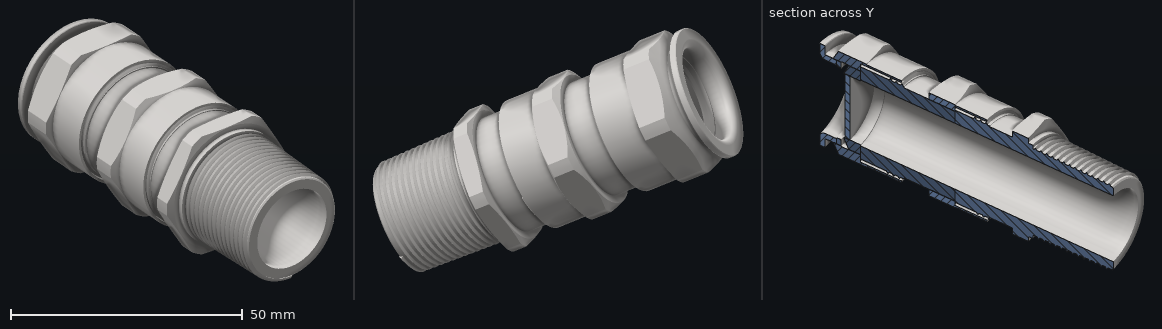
import cadquery as cq
import math


HEX_ACROSS_FLATS = 30.0
HEX_CORNER_RADIUS = 33.0 / 2
HEX_FACE_RADIUS = 14.8
SLEEVE_RADIUS = 14.8

FLANGE_WIDTH = 1.55
FLANGE_EDGE_CHAMFER = 0.15
SEAL_NECK_RADIUS = 24.5 / 2
SEAL_BORE_RADIUS = 10.6
SEAL_MOUTH_FILLET = SEAL_NECK_RADIUS - SEAL_BORE_RADIUS
SEAL_END = 4.55

FERRULE_BORE_RADIUS = 10.3
FERRULE_END = 5.7

CONE_TIP = 6.2
CONE_HALF_ANGLE = 65
DISC_RADIUS = 9.2
DISC_RECESS = 0.4
DISC_THICKNESS = 1.55

CAP_NUT_START = 3.55
CAP_NUT_FRONT_CHAMFER = 2.2
CAP_NUT_HEX_END = 12.4
CAP_NUT_REAR_CHAMFER = 0.4
CAP_NUT_SHOULDER = 10.8
CAP_NUT_END = 21.5

UNION_NUT_START = 28.65
UNION_NUT_FRONT_CHAMFER = 1.15
UNION_NUT_HEX_END = 35.7
UNION_NUT_REAR_CHAMFER = 1.0
UNION_NUT_SHOULDER = 35.5
UNION_NUT_END = 43.95

BODY_BORE_RADIUS = 19.0 / 2
NUT_THREAD_CORE_RADIUS = 26.9 / 2
NUT_THREAD_OVERHANG = 0.7
NUT_THREAD_TURNS = 3
NUT_THREAD_CLEARANCE = 0.15
NUT_THREAD_CREST_SETBACK = 0.15
MIDDLE_THREAD_TURN = -80
ENTRY_THREAD_TURN = 15
MIDDLE_RADIUS = 26.3 / 2

ENTRY_RADIUS = 26.5 / 2
ENTRY_HEX_START = 50.4
ENTRY_HEX_END = 54.8
ENTRY_HEX_CHAMFER = 0.5
COLLAR_END = 55.9
COLLAR_RADIUS = 13.6

FOURTEEN_TURNS_LENGTH = 20.85
THREAD_PITCH = FOURTEEN_TURNS_LENGTH / 14
RIDGE_HEIGHT = 0.6
RIDGE_WIDTH = 0.8
RIDGE_SINK = 0.3
TOTAL_LENGTH = 77.25
CORE_END = 77.0
CORE_START_RADIUS = 12.6
CORE_END_RADIUS = 24.2 / 2
CORE_END_CHAMFER = 0.3
THREAD_RUNOUT = 0.15

STRAIGHT = 360

RIDGE_FOOT = RIDGE_WIDTH / 2 * (1 + RIDGE_SINK / RIDGE_HEIGHT)

NUT_THREAD_BORE_RADIUS = NUT_THREAD_CORE_RADIUS + RIDGE_HEIGHT + NUT_THREAD_CLEARANCE


def revolved(points):
    """Solid of revolution about X from a closed (x, radius) outline."""
    return cq.Workplane("XY").polyline(points).close().revolve(360, (0, 0, 0), (1, 0, 0))


def cylinder(start, end, radius):
    """Solid cylinder along X."""
    return cq.Workplane("YZ", origin=(start, 0, 0)).circle(radius).extrude(end - start)


def hexagon(start, end, front_chamfer, rear_chamfer, front_radius=HEX_FACE_RADIUS):
    """Hexagon with flats at top and bottom, its corners turned round and its ends coned."""
    corner_diameter = HEX_ACROSS_FLATS / math.cos(math.radians(30))
    prism = cq.Workplane("YZ", origin=(start, 0, 0)).polygon(6, corner_diameter).extrude(end - start)
    turned = revolved(
        [
            (start, 0),
            (start, front_radius),
            (start + front_chamfer, HEX_CORNER_RADIUS),
            (end - rear_chamfer, HEX_CORNER_RADIUS),
            (end, HEX_FACE_RADIUS),
            (end, 0),
        ]
    )
    return prism.intersect(turned)


def thread_ridge(end, end_radius, length, taper_degrees=STRAIGHT):
    """Right-hand V ridge that winds towards -X from `end`, where its crest lies on the -Z side."""
    helix = cq.Wire.makeHelix(THREAD_PITCH, length, end_radius, angle=taper_degrees)
    profile = (
        cq.Workplane("XZ")
        .moveTo(end_radius - RIDGE_SINK, -RIDGE_FOOT)
        .lineTo(end_radius + RIDGE_HEIGHT, 0)
        .lineTo(end_radius - RIDGE_SINK, RIDGE_FOOT)
        .close()
    )
    ridge = profile.sweep(cq.Workplane(obj=helix), isFrenet=True)
    upright_to_axis = ridge.rotate((0, 0, 0), (0, 1, 0), -90)
    return upright_to_axis.rotate((0, 0, 0), (1, 0, 0), 180).translate((end, 0, 0))


def nut_thread(start, end, end_turn):
    """Threaded male end with its ridge trimmed flush at `end` and turned by `end_turn` degrees."""
    core = cylinder(start, end, NUT_THREAD_CORE_RADIUS)
    crest_end = end - NUT_THREAD_CREST_SETBACK
    ridge = thread_ridge(crest_end, NUT_THREAD_CORE_RADIUS, NUT_THREAD_TURNS * THREAD_PITCH)
    turned = ridge.rotate((0, 0, 0), (1, 0, 0), end_turn)
    trimmed = turned.intersect(cylinder(start, end, NUT_THREAD_BORE_RADIUS))
    return core.union(trimmed)


def make_seal():
    flange = cylinder(0, FLANGE_WIDTH, SLEEVE_RADIUS).edges().chamfer(FLANGE_EDGE_CHAMFER)
    neck = cylinder(0, SEAL_END, SEAL_NECK_RADIUS)
    bore = cylinder(0, SEAL_END, SEAL_BORE_RADIUS)
    seal = flange.union(neck).cut(bore)
    mouth = cq.selectors.RadiusNthSelector(0)
    return seal.faces("<X").edges(mouth).fillet(SEAL_MOUTH_FILLET)


def make_ferrule():
    ring = cylinder(SEAL_END, FERRULE_END, SEAL_NECK_RADIUS)
    return ring.cut(cylinder(SEAL_END, FERRULE_END, FERRULE_BORE_RADIUS))


def make_clamping_cone():
    """Blunt cone that fills the cap nut's bore up to the middle body."""
    cone_height = SEAL_NECK_RADIUS - DISC_RADIUS
    cone_length = cone_height / math.tan(math.radians(CONE_HALF_ANGLE))
    return revolved(
        [
            (CONE_TIP, DISC_RADIUS),
            (CONE_TIP + cone_length, SEAL_NECK_RADIUS),
            (CAP_NUT_SHOULDER, SEAL_NECK_RADIUS),
            (CAP_NUT_SHOULDER, DISC_RADIUS),
        ]
    )


def make_disc():
    start = CONE_TIP + DISC_RECESS
    return cylinder(start, start + DISC_THICKNESS, DISC_RADIUS)


def make_cap_nut():
    head = hexagon(
        CAP_NUT_START, CAP_NUT_HEX_END, CAP_NUT_FRONT_CHAMFER, CAP_NUT_REAR_CHAMFER, SEAL_NECK_RADIUS
    )
    sleeve = cylinder(CAP_NUT_HEX_END, CAP_NUT_END, SLEEVE_RADIUS)
    seal_hole = cylinder(CAP_NUT_START, CAP_NUT_SHOULDER, SEAL_NECK_RADIUS)
    thread_hole = cylinder(CAP_NUT_SHOULDER, CAP_NUT_END, NUT_THREAD_BORE_RADIUS)
    return head.union(sleeve).cut(seal_hole).cut(thread_hole)


def make_middle_body():
    thread_end = CAP_NUT_END + NUT_THREAD_OVERHANG
    thread = nut_thread(CAP_NUT_SHOULDER, thread_end, MIDDLE_THREAD_TURN)
    barrel = cylinder(thread_end, UNION_NUT_SHOULDER, MIDDLE_RADIUS)
    bore = cylinder(CAP_NUT_SHOULDER, UNION_NUT_SHOULDER, BODY_BORE_RADIUS)
    return thread.union(barrel).cut(bore)


def make_union_nut():
    head = hexagon(UNION_NUT_START, UNION_NUT_HEX_END, UNION_NUT_FRONT_CHAMFER, UNION_NUT_REAR_CHAMFER)
    sleeve = cylinder(UNION_NUT_HEX_END, UNION_NUT_END, SLEEVE_RADIUS)
    barrel_hole = cylinder(UNION_NUT_START, UNION_NUT_SHOULDER, MIDDLE_RADIUS)
    thread_hole = cylinder(UNION_NUT_SHOULDER, UNION_NUT_END, NUT_THREAD_BORE_RADIUS)
    return head.union(sleeve).cut(barrel_hole).cut(thread_hole)


def make_entry_thread():
    """Tapered core and ridge; the ridge's last turn overhangs the core's end slightly."""
    core = revolved(
        [
            (COLLAR_END, 0),
            (COLLAR_END, CORE_START_RADIUS),
            (CORE_END - CORE_END_CHAMFER, CORE_END_RADIUS),
            (CORE_END, CORE_END_RADIUS - CORE_END_CHAMFER),
            (CORE_END, 0),
        ]
    )
    taper_length = CORE_END - CORE_END_CHAMFER - COLLAR_END
    taper_degrees = math.degrees(math.atan((CORE_START_RADIUS - CORE_END_RADIUS) / taper_length))
    ridge_end = TOTAL_LENGTH - RIDGE_FOOT
    ridge_length = ridge_end - COLLAR_END - THREAD_RUNOUT
    return core.union(thread_ridge(ridge_end, CORE_END_RADIUS, ridge_length, taper_degrees))


def make_entry_body():
    thread_end = UNION_NUT_END + NUT_THREAD_OVERHANG
    thread = nut_thread(UNION_NUT_SHOULDER, thread_end, ENTRY_THREAD_TURN)
    barrel = cylinder(thread_end, ENTRY_HEX_START, ENTRY_RADIUS)
    head = hexagon(ENTRY_HEX_START, ENTRY_HEX_END, ENTRY_HEX_CHAMFER, ENTRY_HEX_CHAMFER)
    collar = cylinder(ENTRY_HEX_END, COLLAR_END, COLLAR_RADIUS)
    bore = cylinder(UNION_NUT_SHOULDER, TOTAL_LENGTH, BODY_BORE_RADIUS)
    return thread.union(barrel).union(head).union(collar).union(make_entry_thread()).cut(bore)


seal = make_seal()
ferrule = make_ferrule()
clamping_cone = make_clamping_cone()
disc = make_disc()
cap_nut = make_cap_nut()
middle_body = make_middle_body()
union_nut = make_union_nut()
entry_body = make_entry_body()

bodies = [seal, ferrule, clamping_cone, disc, cap_nut, middle_body, union_nut, entry_body]
result = cq.Compound.makeCompound([body.solids().val() for body in bodies])